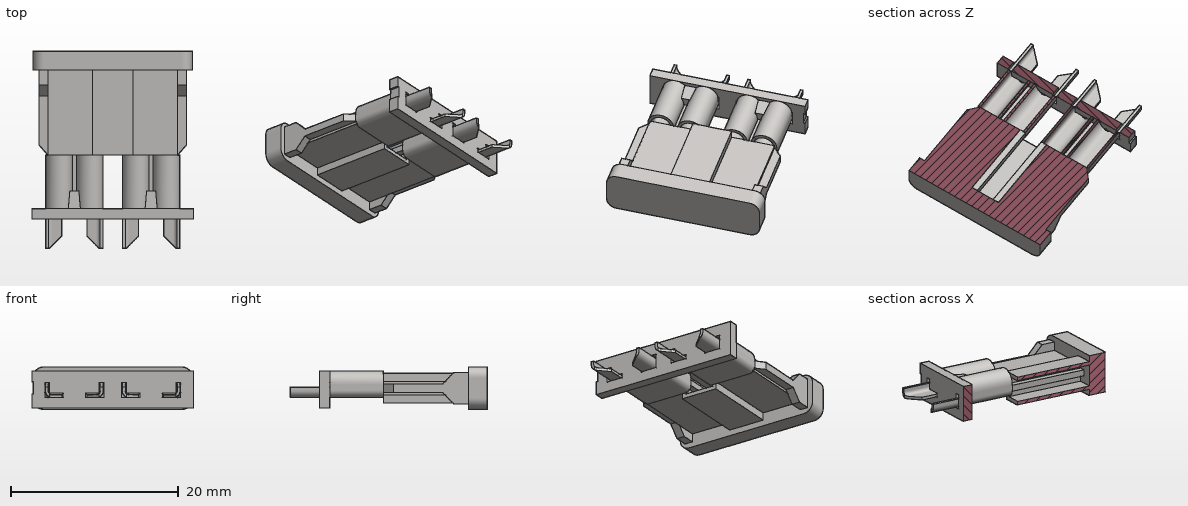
import cadquery as cq
import math


cap_back = 23.55
cap_front = 21.27
housing_front = 11.15
plate_back = 4.75
plate_front = 3.5

cap_width = 19.03
cap_height = 5.09
cap_corner_radius = 1.27
body_width = 15.5
body_height = 1.65
rail_width = 4.8
rail_height = 3.58
rail_thickness = 0.5
web_thickness = 0.75
wing_width = 1.05
wing_root_height = 3.77
wing_tip_height = 0.97
wing_slope_start = 19.52
wing_slope_end = 18.18
wing_chamfer_length = 1.2

sheet_thickness = 0.35
barrel_radius = 1.6
barrel_corner_radius = 0.8
barrel_axis_z = 0.47
barrel_pitch = 3.67
contact_pitch = 9.15
leg_width = 1.95
leg_height = 1.25
leg_chamfer = 1.48

plate_width = 19.3
plate_height = 4.45
slot_clearance = 0.07
slot_thickness = 0.55
slot_width = 2.17
slot_height = 1.8
notch_depth = 0.21
notch_bottom = -0.65
notch_top = 0.75
wedge_length = 2.1
wedge_base_top = 1.62
wedge_tip_top = 1.41

channel_width = contact_pitch - barrel_pitch - 2 * barrel_radius
barrel_bottom = barrel_axis_z - barrel_radius
plate_top = barrel_axis_z + barrel_radius
contact_centres = (-contact_pitch / 2, contact_pitch / 2)


def box(x_min, x_max, y_min, y_max, z_min, z_max):
    """Rectangular block between two corners."""
    size = (x_max - x_min, y_max - y_min, z_max - z_min)
    return cq.Workplane("XY").box(*size, centered=False).translate((x_min, y_min, z_min))


def extrude_along_y(sketch, y_min, y_max):
    """Extrude an outline drawn on the XZ plane from y_min to y_max."""
    return sketch.extrude(y_min - y_max).translate((0, y_min, 0))


def make_cap():
    cap = box(-cap_width / 2, cap_width / 2, cap_front, cap_back, -cap_height / 2, cap_height / 2)
    return cap.edges("|Y").fillet(cap_corner_radius)


def make_wing():
    """Wing on the +X side, tall at the cap and narrowing to a chamfered strip."""
    inner_x = body_width / 2
    outer_x = inner_x + wing_width
    root = wing_root_height / 2
    tip = wing_tip_height / 2
    profile = [
        (cap_front, root),
        (wing_slope_start, root),
        (wing_slope_end, tip),
        (housing_front, tip),
        (housing_front, -tip),
        (wing_slope_end, -tip),
        (wing_slope_start, -root),
        (cap_front, -root),
    ]
    wing = cq.Workplane("YZ").polyline(profile).close().extrude(wing_width).translate((inner_x, 0, 0))
    corner = [
        (inner_x, housing_front),
        (outer_x, housing_front),
        (outer_x, housing_front + wing_chamfer_length),
    ]
    chamfer = cq.Workplane("XY").polyline(corner).close().extrude(root, both=True)
    return wing.cut(chamfer)


def make_housing():
    """Cap and winged core, with a hollow rail along the middle of the top and the bottom."""
    housing = make_cap()
    wing = make_wing()
    core_side = box(
        channel_width / 2, body_width / 2, housing_front, cap_front, -body_height / 2, body_height / 2
    )
    rail = box(
        -rail_width / 2, rail_width / 2, housing_front, cap_front, body_height / 2, rail_height / 2
    )
    rail_hollow = box(
        rail_thickness - rail_width / 2, rail_width / 2 - rail_thickness,
        housing_front, cap_front,
        web_thickness / 2, rail_height / 2 - rail_thickness,
    )
    side = core_side.union(wing)
    housing = housing.union(side).union(side.mirror("YZ"))
    housing = housing.union(rail).union(rail.mirror("XY"))
    return housing.cut(rail_hollow).cut(rail_hollow.mirror("XY"))


def barrel_prism(radius, corner_radius, y_min, y_max):
    """Round bar around the origin whose lower -X corner is squared out to a smaller radius."""
    corner_centre = corner_radius - radius
    mid = corner_centre - corner_radius * math.sqrt(0.5)
    outline = (
        cq.Workplane("XZ")
        .moveTo(-radius, 0)
        .threePointArc((0, radius), (radius, 0))
        .threePointArc((radius * math.sqrt(0.5), -radius * math.sqrt(0.5)), (0, -radius))
        .lineTo(corner_centre, -radius)
        .threePointArc((mid, mid), (-radius, corner_centre))
        .close()
    )
    return extrude_along_y(outline, y_min, y_max)


def make_leg():
    """L-shaped leg in the squared corner of the barrel, with its foot cut at 45 degrees."""
    outer = -barrel_radius
    inner = outer + sheet_thickness
    foot_end = outer + leg_width
    corner_centre = outer + barrel_corner_radius
    outer_mid = corner_centre - barrel_corner_radius * math.sqrt(0.5)
    inner_mid = corner_centre - (barrel_corner_radius - sheet_thickness) * math.sqrt(0.5)
    outline = (
        cq.Workplane("XZ")
        .moveTo(outer, outer + leg_height)
        .lineTo(outer, corner_centre)
        .threePointArc((outer_mid, outer_mid), (corner_centre, outer))
        .lineTo(foot_end, outer)
        .lineTo(foot_end, inner)
        .lineTo(corner_centre, inner)
        .threePointArc((inner_mid, inner_mid), (inner, corner_centre))
        .lineTo(inner, outer + leg_height)
        .close()
    )
    leg = extrude_along_y(outline, 0, plate_back)
    corner = [(foot_end - leg_chamfer, 0), (foot_end, 0), (foot_end, leg_chamfer)]
    chamfer = cq.Workplane("XY").polyline(corner).close().extrude(barrel_radius, both=True)
    return leg.cut(chamfer)


def make_contact(centre_x):
    """Two mirrored barrels on a flat strip, each with its leg."""
    bore_radius = barrel_radius - sheet_thickness
    bore_corner_radius = barrel_corner_radius - sheet_thickness
    offset = (-barrel_pitch / 2, 0, barrel_axis_z)
    barrel = barrel_prism(barrel_radius, barrel_corner_radius, plate_back, housing_front).translate(offset)
    bore = barrel_prism(bore_radius, bore_corner_radius, plate_back, housing_front).translate(offset)
    leg = make_leg().translate(offset)
    strip = box(
        -barrel_pitch / 2, barrel_pitch / 2,
        plate_back, housing_front,
        barrel_bottom, barrel_bottom + sheet_thickness,
    )
    contact = strip.union(barrel).union(barrel.mirror("YZ"))
    contact = contact.cut(bore).cut(bore.mirror("YZ"))
    contact = contact.union(leg).union(leg.mirror("YZ"))
    return contact.translate((centre_x, 0, 0))


def make_leg_slot():
    """Slot for the leg on the -X side of a contact centred at X = 0."""
    leg_outer = -barrel_pitch / 2 - barrel_radius
    slot_outer = leg_outer - slot_clearance
    upright = box(
        slot_outer, slot_outer + slot_thickness,
        plate_front, plate_back,
        barrel_bottom, barrel_bottom + slot_height,
    )
    foot = box(
        slot_outer, slot_outer + slot_width,
        plate_front, plate_back,
        barrel_bottom, barrel_bottom + slot_thickness,
    )
    return upright.union(foot)


def make_wedge():
    """Sloping wedge that fills the valley between the two barrels of a contact at X = 0."""
    profile = [
        (plate_back, barrel_axis_z),
        (plate_back, wedge_base_top),
        (plate_back + wedge_length, wedge_tip_top),
        (plate_back + wedge_length, barrel_axis_z),
    ]
    wedge = cq.Workplane("YZ").polyline(profile).close().extrude(barrel_pitch / 2, both=True)
    barrel = barrel_prism(barrel_radius, barrel_corner_radius, plate_back, housing_front)
    barrel = barrel.translate((-barrel_pitch / 2, 0, barrel_axis_z))
    return wedge.cut(barrel).cut(barrel.mirror("YZ"))


def make_plate():
    """Slotted plate with a wedge behind it at each contact and a notch in its -X end."""
    plate = box(
        -plate_width / 2, plate_width / 2, plate_front, plate_back, plate_top - plate_height, plate_top
    )
    notch = box(
        -plate_width / 2, -plate_width / 2 + notch_depth, plate_front, plate_back, notch_bottom, notch_top
    )
    plate = plate.cut(notch)
    slot = make_leg_slot()
    slots = slot.union(slot.mirror("YZ"))
    wedge = make_wedge()
    for centre_x in contact_centres:
        plate = plate.cut(slots.translate((centre_x, 0, 0)))
        plate = plate.union(wedge.translate((centre_x, 0, 0)))
    return plate


housing = make_housing()
plate = make_plate()
contacts = [make_contact(centre_x).val() for centre_x in contact_centres]

result = cq.Compound.makeCompound([housing.val(), plate.val(), *contacts])